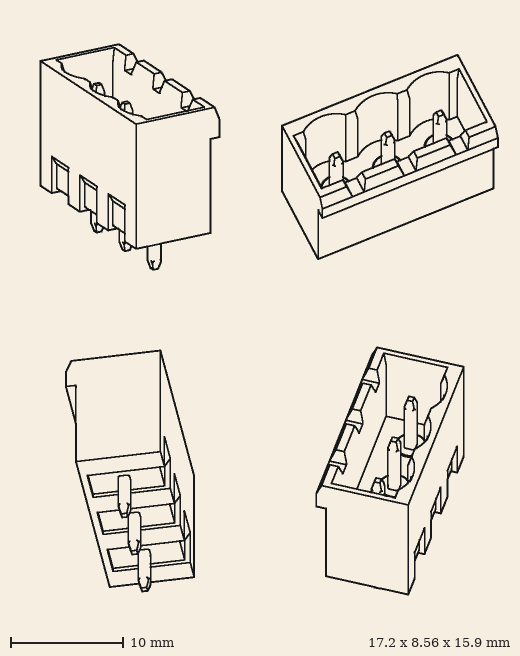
import cadquery as cq

length = 17.24
depth = 7.65
height = 12.0

pin_count = 3
pitch = 5.09
pin_y = 3.88
pin_width = 1.03
pin_corner_radius = 0.24
pin_tip_width = 0.5
pin_taper_height = 0.97
pin_bottom = -3.9
pin_top = 10.24
pin_positions = [(i - (pin_count - 1) / 2) * pitch for i in range(pin_count)]

lip_overhang = 0.91
lip_height = 2.97
lip_bevel_width = 0.5
lip_bevel_height = 1.28

floor_z = 4.0
end_wall = 0.81
front_wall = 1.67
rear_wall = 0.67
mouth_bevel_width = 0.31
mouth_bevel_height = 1.12
scallop_radius = 2.95

notch_depth = lip_bevel_height
notch_floor_width = 1.14
notch_mouth_width = 1.86

collar_radius = 1.4
collar_height = 0.09
collar_side_angle = 45

pocket_width = 3.0
pocket_height = 3.53
pocket_depth = 0.5
pocket_slope_height = 0.81
recess_height = 0.38


def make_shell():
    """Solid block with the overhanging, bevelled rear lip."""
    rear = depth + lip_overhang
    return (
        cq.Workplane("YZ")
        .polyline([
            (0, 0),
            (depth, 0),
            (depth, height - lip_height),
            (rear, height - lip_height),
            (rear, height - lip_bevel_height),
            (rear - lip_bevel_width, height),
            (0, height),
        ])
        .close()
        .extrude(length / 2, both=True)
    )


def make_cavity():
    """Plug space: a box with a flared mouth, and one scallop in front of each pin."""
    box_length = length - 2 * end_wall
    box_depth = depth - front_wall - rear_wall
    center_y = front_wall + box_depth / 2
    bevel_z = height - mouth_bevel_height
    flare = 2 * mouth_bevel_width

    cavity = (
        cq.Workplane("XY", origin=(0, center_y, floor_z))
        .rect(box_length, box_depth)
        .extrude(height - floor_z)
    )
    mouth = (
        cq.Workplane("XY", origin=(0, center_y, bevel_z))
        .rect(box_length, box_depth)
        .workplane(offset=mouth_bevel_height)
        .rect(box_length + flare, box_depth + flare)
        .loft(ruled=True)
    )
    cavity = cavity.union(mouth)

    front_zone = cq.Workplane("XY").box(length, front_wall, height, centered=(True, False, False))
    for x in pin_positions:
        scallop = (
            cq.Workplane("XZ", origin=(x, pin_y, 0))
            .polyline([
                (0, floor_z),
                (scallop_radius, floor_z),
                (scallop_radius, bevel_z),
                (scallop_radius + mouth_bevel_width, height),
                (0, height),
            ])
            .close()
            .revolve(360, (0, 0, 0), (0, 1, 0))
        )
        cavity = cavity.union(scallop.intersect(front_zone))
    return cavity


def make_notch(x):
    """Flared keying notch, cut from the cavity out through the rear lip."""
    return (
        cq.Workplane("XZ", origin=(x, pin_y, 0))
        .polyline([
            (-notch_floor_width / 2, height - notch_depth),
            (notch_floor_width / 2, height - notch_depth),
            (notch_mouth_width / 2, height),
            (-notch_mouth_width / 2, height),
        ])
        .close()
        .extrude(-(depth + lip_overhang - pin_y))
    )


def make_collar(x):
    """Low raised disc with a bevelled rim on the cavity floor around a pin."""
    return (
        cq.Workplane("XY", origin=(x, pin_y, floor_z))
        .circle(collar_radius)
        .extrude(collar_height, taper=collar_side_angle)
    )


def make_pocket(x):
    """Front pocket with a sloping roof, joined to the recess in the underside."""
    return (
        cq.Workplane("YZ", origin=(x, 0, 0))
        .polyline([
            (0, 0),
            (depth - rear_wall, 0),
            (depth - rear_wall, recess_height),
            (pocket_depth, recess_height),
            (pocket_depth, pocket_height - pocket_slope_height),
            (0, pocket_height),
        ])
        .close()
        .extrude(pocket_width / 2, both=True)
    )


def make_pin(x):
    """Square pin with rounded long edges and a pyramid taper at both ends."""
    middle_length = pin_top - pin_bottom - 2 * pin_taper_height

    def taper(start_z, direction):
        return (
            cq.Workplane("XY", origin=(x, pin_y, start_z))
            .rect(pin_width, pin_width)
            .workplane(offset=direction * pin_taper_height)
            .rect(pin_tip_width, pin_tip_width)
            .loft(ruled=True)
        )

    shank = (
        cq.Workplane("XY", origin=(x, pin_y, pin_bottom + pin_taper_height))
        .rect(pin_width, pin_width)
        .extrude(middle_length)
    )
    pointed = (
        shank
        .union(taper(pin_bottom + pin_taper_height, -1))
        .union(taper(pin_top - pin_taper_height, 1))
    )
    rounded_bar = (
        cq.Workplane("XY", origin=(x, pin_y, pin_bottom))
        .rect(pin_width, pin_width)
        .extrude(pin_top - pin_bottom)
        .edges("|Z")
        .fillet(pin_corner_radius)
    )
    return pointed.intersect(rounded_bar)


def make_housing(pins):
    """Housing with its cavity, notches, pockets and a fitted hole for each pin."""
    housing = make_shell().cut(make_cavity())
    for x in pin_positions:
        housing = housing.cut(make_notch(x)).union(make_collar(x)).cut(make_pocket(x))
    for pin in pins:
        housing = housing.cut(pin)
    return housing


pins = [make_pin(x) for x in pin_positions]
housing = make_housing(pins)

result = cq.Compound.makeCompound([housing.val(), *[pin.val() for pin in pins]])